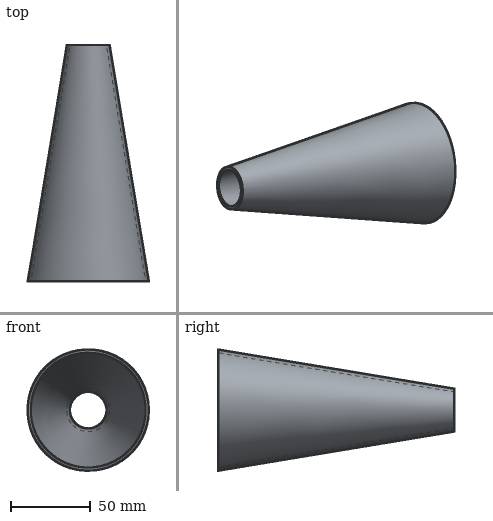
import cadquery as cq

length = 148.0
wide_diameter = 76.0
narrow_diameter = 27.0
wall = 2.0

wide_radius = wide_diameter / 2
narrow_radius = narrow_diameter / 2

wall_section = (
    cq.Workplane("XY")
    .moveTo(wide_radius - wall, 0)
    .lineTo(wide_radius, 0)
    .lineTo(narrow_radius, length)
    .lineTo(narrow_radius - wall, length)
    .close()
)

result = wall_section.revolve(360, (0, 0, 0), (0, 1, 0))